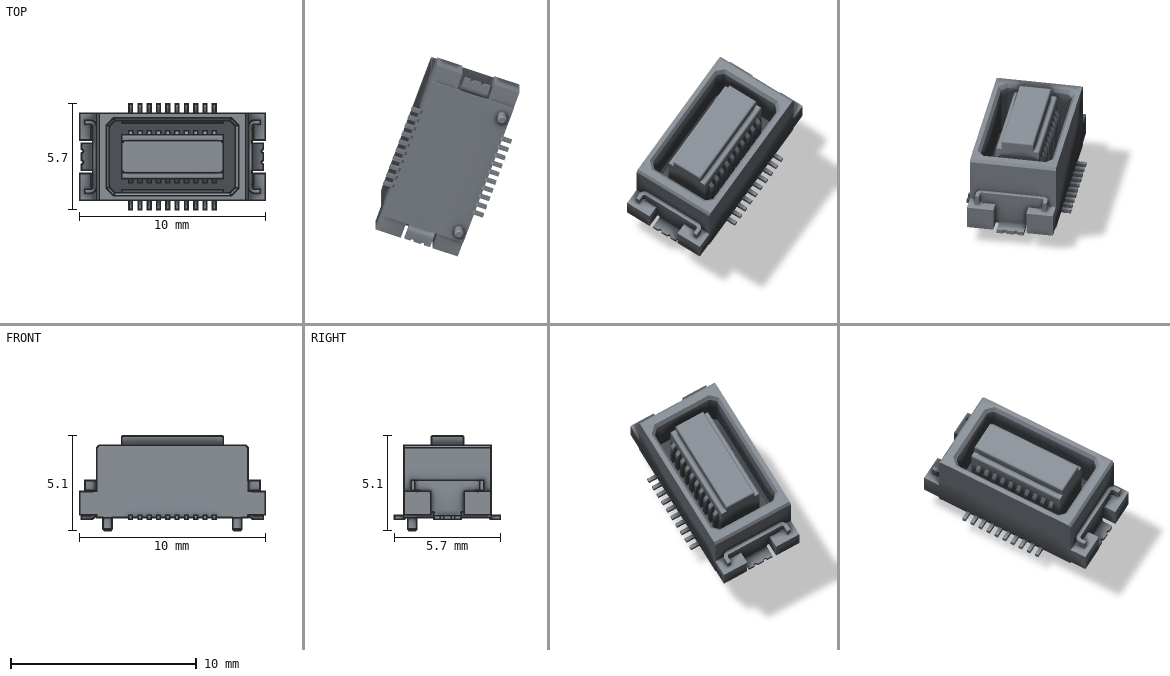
import cadquery as cq


length = 10.0
housing_length = 8.16
housing_width = 4.7
housing_height = 3.9
end_chamfer_x = 0.13
end_chamfer_z = 0.15

ear_bottom = 0.15
ear_top = 1.41
ear_inner_y = 0.9
ear_chamfer = 0.1
ear_chamfer_end_y = 1.62

cavity_length = 6.78
cavity_width = 3.9
cavity_floor = 1.0
cavity_corner = 0.3
cavity_corner_radius = 0.16
rim_length = 7.12
rim_width = 4.2
rim_corner = 0.4
lead_in_depth = 0.21
foot_depth = 0.16
foot_height = 0.17

plug_length = 5.48
plug_width = 2.36
plug_height = housing_height
plug_round = 0.11
tongue_width = 1.74
tongue_top = 4.4
tongue_round = 0.1

contact_count = 10
pitch = 0.5
contact_width = 0.23
contact_depth = 0.21
contact_drop = 0.29
contact_top = 3.28
contact_round = 0.34
lead_bottom = -0.1
lead_width = 0.2
lead_top = 0.12
lead_span = 5.7
lead_bend = 0.12

peg_x = 3.49
peg_y = -1.89
peg_radius = 0.25
peg_bottom = -0.7
peg_chamfer = 0.09

clip_thickness = 0.21
clip_top = 2.0
hook_bottom = 1.47
hook_span = 3.92
hook_reach = 0.64
hook_inner_radius = 0.13
plate_width = 2.96
plate_bottom = 0.32
tail_width = 1.47
tail_end_x = 4.9
tail_inner_radius = 0.16
notch_y = 0.3
notch_radius = 0.1

wall_x = housing_length / 2
clip_face_x = wall_x + clip_thickness


def block(x_range, y_range, z_range):
    """Axis-aligned box between pairs of limits."""
    sizes = [high - low for low, high in (x_range, y_range, z_range)]
    corner = (x_range[0], y_range[0], z_range[0])
    return cq.Workplane("XY").box(*sizes, centered=False).translate(corner)


def centred_block(size_x, size_y, bottom, top):
    """Box centred on the Z axis between two heights."""
    return block((-size_x / 2, size_x / 2), (-size_y / 2, size_y / 2), (bottom, top))


def on_both_ends(solid):
    """Join a solid from the -X end with its mirror image at the +X end."""
    return solid.union(solid.mirror("YZ"))


def on_both_sides(solid):
    """Join a solid from the -Y side with its mirror image on the +Y side."""
    return solid.union(solid.mirror("XZ"))


def octagon(size_x, size_y, corner):
    """Points of a centred rectangle with its corners cut off at 45 degrees."""
    x = size_x / 2
    y = size_y / 2
    right_half = [(x - corner, -y), (x, -y + corner), (x, y - corner), (x - corner, y)]
    left_half = [(-point_x, -point_y) for point_x, point_y in right_half]
    return right_half + left_half


def make_housing():
    """Box with chamfered top end edges and a flared eight-sided cavity."""
    body = centred_block(housing_length, housing_width, 0, housing_height)
    end_edge = (
        cq.Workplane("XZ")
        .polyline([
            (-wall_x, housing_height - end_chamfer_z),
            (-wall_x, housing_height),
            (-wall_x + end_chamfer_x, housing_height),
        ])
        .close()
        .extrude(housing_width / 2, both=True)
    )
    cavity_outline = octagon(cavity_length, cavity_width, cavity_corner)
    rim_outline = octagon(rim_length, rim_width, rim_corner)
    cavity = (
        cq.Workplane("XY", origin=(0, 0, cavity_floor))
        .polyline(cavity_outline)
        .close()
        .extrude(housing_height - cavity_floor)
        .edges("|Z")
        .fillet(cavity_corner_radius)
    )
    flare = (
        cq.Workplane("XY", origin=(0, 0, housing_height - lead_in_depth))
        .polyline(cavity_outline)
        .close()
        .workplane(offset=lead_in_depth)
        .polyline(rim_outline)
        .close()
        .loft(ruled=True)
    )
    return body.cut(on_both_ends(end_edge)).cut(cavity).cut(flare)


def make_wall_feet():
    """Sloped fillers where the long cavity walls meet the floor."""
    wall_y = -cavity_width / 2
    foot = (
        cq.Workplane("YZ")
        .polyline([
            (wall_y, cavity_floor),
            (wall_y + foot_depth, cavity_floor),
            (wall_y, cavity_floor + foot_height),
        ])
        .close()
        .extrude(plug_length / 2, both=True)
    )
    return on_both_sides(foot)


def make_plug():
    """Wide base with rounded long edges, carrying a narrower rounded tongue."""
    base = centred_block(plug_length, plug_width, cavity_floor, plug_height)
    base = base.edges("|X and >Z").fillet(plug_round)
    tongue = centred_block(plug_length, tongue_width, cavity_floor, tongue_top)
    tongue = tongue.faces(">Z").edges().fillet(tongue_round)
    return base.union(tongue)


def make_contact(x):
    """Upright contact with a sloping, rounded top, on the -Y side of the plug."""
    root_y = -plug_width / 2
    outer_y = root_y - contact_depth
    profile = (
        cq.Workplane("YZ", origin=(x - contact_width / 2, 0, 0))
        .polyline([
            (root_y, cavity_floor),
            (root_y, contact_top),
            (outer_y, contact_top - contact_drop),
            (outer_y, cavity_floor),
        ])
        .close()
        .extrude(contact_width)
    )
    shoulder = cq.selectors.NearestToPointSelector((x, outer_y, contact_top - contact_drop))
    return profile.edges(shoulder).fillet(contact_round)


def make_lead(x):
    """Flat solder lead that bends up into the housing underside on the -Y side."""
    tip_y = -lead_span / 2
    wall_y = -housing_width / 2
    return (
        cq.Workplane("YZ", origin=(x - lead_width / 2, 0, 0))
        .polyline([
            (tip_y, lead_bottom),
            (tip_y, lead_top),
            (wall_y + lead_bend, lead_top),
            (wall_y + lead_bend, 0),
            (wall_y, lead_bottom),
        ])
        .close()
        .extrude(lead_width)
    )


def make_terminals():
    """Evenly spaced contacts and leads along both long sides."""
    terminals = cq.Workplane("XY")
    for index in range(contact_count):
        x = (index - (contact_count - 1) / 2) * pitch
        terminals = terminals.add(make_contact(x)).add(make_lead(x))
    return on_both_sides(terminals.combine())


def make_ear():
    """Ear at the -X, -Y corner with a chamfer beside the clip plate."""
    ear = block((-length / 2, -wall_x), (-housing_width / 2, -ear_inner_y), (ear_bottom, ear_top))
    chamfer = (
        cq.Workplane("XZ", origin=(0, -ear_inner_y, 0))
        .polyline([
            (-clip_face_x - ear_chamfer, ear_top),
            (-clip_face_x, ear_top),
            (-clip_face_x, ear_top - ear_chamfer),
        ])
        .close()
        .extrude(ear_chamfer_end_y - ear_inner_y)
    )
    return ear.cut(chamfer)


def make_hook_strip():
    """Top of the -X clip: a strip along the wall with both ends bent outward."""
    outer_radius = hook_inner_radius + clip_thickness
    inner_span = hook_span - 2 * clip_thickness
    strip_x = (-wall_x - hook_reach, -wall_x)
    strip = block(strip_x, (-hook_span / 2, hook_span / 2), (hook_bottom, clip_top))
    strip = strip.edges("|Z and >X").fillet(outer_radius)
    opening_x = (-length / 2, -clip_face_x)
    opening = block(opening_x, (-inner_span / 2, inner_span / 2), (hook_bottom, clip_top))
    return strip.cut(opening.edges("|Z and >X").fillet(hook_inner_radius))


def make_tail():
    """Foot of the -X clip: a tongue bent outward, with two round notches in its end."""
    tail_top = lead_bottom + clip_thickness
    outer_radius = tail_inner_radius + clip_thickness
    half_width = tail_width / 2
    tail_y = (-half_width, half_width)
    outer = block((-tail_end_x, -wall_x), tail_y, (lead_bottom, hook_bottom))
    outer = outer.edges("|Y and >X and <Z").fillet(outer_radius)
    inner = block((-tail_end_x, -clip_face_x), tail_y, (tail_top, hook_bottom))
    inner = inner.edges("|Y and >X and <Z").fillet(tail_inner_radius)
    notches = (
        cq.Workplane("XY", origin=(-tail_end_x, 0, lead_bottom))
        .pushPoints([(0, -notch_y), (0, notch_y)])
        .circle(notch_radius)
        .extrude(clip_thickness)
    )
    return outer.cut(inner).cut(notches)


def make_clip():
    """Complete hold-down clip on the -X wall."""
    plate_y = (-plate_width / 2, plate_width / 2)
    plate = block((-clip_face_x, -wall_x), plate_y, (plate_bottom, clip_top))
    return plate.union(make_hook_strip()).union(make_tail())


def make_pegs():
    """Two locating pegs with chamfered tips."""
    return (
        cq.Workplane("XY", origin=(0, 0, peg_bottom))
        .pushPoints([(-peg_x, peg_y), (peg_x, peg_y)])
        .circle(peg_radius)
        .extrude(-peg_bottom)
        .faces("<Z")
        .chamfer(peg_chamfer)
    )


result = (
    make_housing()
    .union(make_wall_feet())
    .union(make_plug())
    .union(make_terminals())
    .union(on_both_ends(on_both_sides(make_ear())))
    .union(on_both_ends(make_clip()))
    .union(make_pegs())
)